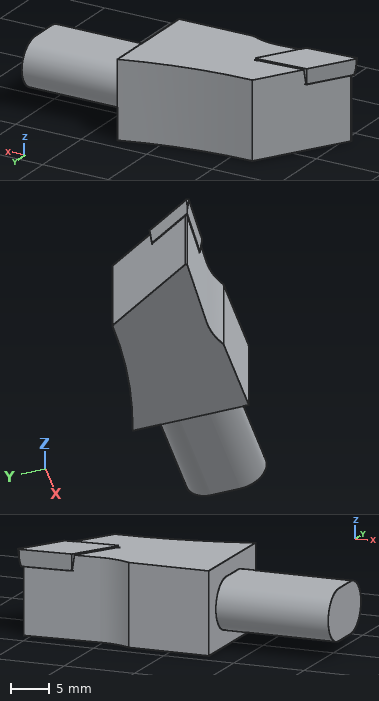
import cadquery as cq
import math

total_length = 43.3
total_height = 11.8

block_height = 11.55
block_width = 16.0
shank_length = 16.02
shank_thickness = 7.2
shank_width = 11.17
block_back_x = total_length - shank_length

front_angle = 3.0
side_angle = 58.0
relief_angle = 7.0

nose_x = 0.7
nose_y = 0.41
nose_flat = 0.25
back_corner_y = 13.05
relief_start_x = 11.4
relief_end_x = 15.85

insert_thickness = 2.4
insert_width = 6.35
insert_nose_radius = 0.2
tip_angle = side_angle - front_angle
insert_side = insert_width / math.sin(math.radians(tip_angle))


def rise(run, angle):
    """Change in Y over a run in X along a line at the given angle."""
    return run * math.tan(math.radians(angle))


def run(height, angle):
    """Change in X over a rise in Y along a line at the given angle."""
    return height / math.tan(math.radians(angle))


def step(point, length, angle):
    """Point reached from another by going a length at an angle from +X."""
    radians = math.radians(angle)
    return (point[0] + length * math.cos(radians), point[1] + length * math.sin(radians))


middle_angle = (front_angle + side_angle) / 2
tip_to_centre = insert_nose_radius / math.sin(math.radians(tip_angle / 2))
nose_centre = (insert_nose_radius, insert_nose_radius)
insert_tip = step(nose_centre, -tip_to_centre, middle_angle)
front_right = step(insert_tip, insert_side, front_angle)
rear_tip = step(front_right, insert_side, side_angle)
back_left = step(insert_tip, insert_side, side_angle)
rear_centre = step(rear_tip, -tip_to_centre, middle_angle)


def make_block():
    """Block with a concave back, a slanted side and a relief behind the cutting edge."""
    side_start_y = nose_y + nose_flat
    back_corner_x = nose_x + run(back_corner_y - side_start_y, side_angle)
    relief_start_y = nose_y + rise(relief_start_x - nose_x, front_angle)
    back_run = block_back_x - back_corner_x
    back_rise = block_width - back_corner_y
    back_radius = (back_run**2 + back_rise**2) / (2 * back_rise)
    return (
        cq.Workplane("XY")
        .moveTo(nose_x, nose_y)
        .lineTo(relief_start_x, relief_start_y)
        .tangentArcPoint((relief_end_x, 0), relative=False)
        .lineTo(block_back_x, 0)
        .lineTo(block_back_x, block_width)
        .radiusArc((back_corner_x, back_corner_y), back_radius)
        .lineTo(nose_x, side_start_y)
        .close()
        .extrude(block_height)
    )


def make_shank():
    """Obround shank centred on the back face of the block."""
    return (
        cq.Workplane("YZ", origin=(block_back_x, block_width / 2, block_height / 2))
        .slot2D(shank_width, shank_thickness)
        .extrude(shank_length)
    )


def make_diamond():
    """Sharp diamond whose walls lean inward from the top face to the seat."""
    return (
        cq.Workplane("XY", origin=(0, 0, total_height))
        .polyline([insert_tip, front_right, rear_tip, back_left])
        .close()
        .extrude(-insert_thickness, taper=relief_angle)
    )


def make_insert():
    """Diamond whose acute corners are rounded on top, the rounding narrowing down to a point."""
    radius = insert_nose_radius
    cone_depth = radius / math.tan(math.radians(relief_angle))
    rounded_top = (
        cq.Workplane("XY", origin=(0, 0, total_height))
        .moveTo(*step(nose_centre, radius, front_angle - 90))
        .lineTo(*front_right)
        .lineTo(*step(rear_centre, radius, side_angle - 90))
        .threePointArc(step(rear_centre, radius, middle_angle), step(rear_centre, radius, front_angle + 90))
        .lineTo(*back_left)
        .lineTo(*step(nose_centre, radius, side_angle + 90))
        .threePointArc(step(nose_centre, -radius, middle_angle), step(nose_centre, radius, front_angle - 90))
        .close()
        .extrude(-cone_depth, taper=relief_angle)
    )
    below_rounding = (
        cq.Workplane("XY", origin=(0, 0, total_height - cone_depth))
        .rect(2 * total_length, 2 * total_length)
        .extrude(-insert_thickness)
    )
    return rounded_top.union(make_diamond().intersect(below_rounding))


holder = make_block().union(make_shank()).cut(make_diamond())
insert = make_insert()

result = cq.Compound.makeCompound([*holder.solids().vals(), *insert.solids().vals()])